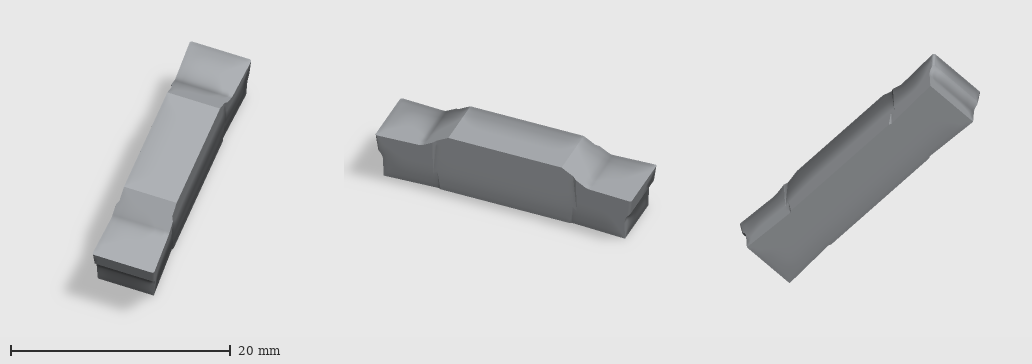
import cadquery as cq
import math

LENGTH = 25.4
HEIGHT = 6.15
HEAD_HEIGHT = 4.65
RIDGE_HALF_LENGTH = 5.61
RAMP_ANGLE = 30.0
RAMP_BLEND_RADIUS = 0.9

RELIEF_DEPTH = 0.2
RELIEF_BOTTOM = 3.0
BASE_HALF_LENGTH = 11.96
HOLLOW_BOTTOM = 1.85

BODY_HALF_WIDTH = 2.57
EDGE_HALF_WIDTH = 3.007
PLAN_TAPER = 0.05
SIDE_DRAFT = 0.053
CORNER_RADIUS = 0.2

HEAD_INNER_Y = 7.1
HEAD_STEP_SLOPE = 1.7
BODY_SHOULDER_BASE_Y = 6.38
BODY_SHOULDER_LEAN = 0.16
BODY_STEP_SLOPE = 2.1

HALF_LENGTH = LENGTH / 2
RELIEF_SLOPE = RELIEF_DEPTH / (HEAD_HEIGHT - RELIEF_BOTTOM)


def make_profile():
    """Side outline in the YZ plane, extruded wider than the part."""
    ramp_foot = RIDGE_HALF_LENGTH + (HEIGHT - HEAD_HEIGHT) / math.tan(math.radians(RAMP_ANGLE))
    blend_reach = RAMP_BLEND_RADIUS * math.tan(math.radians(RAMP_ANGLE / 2))
    ramp_y = blend_reach * math.cos(math.radians(RAMP_ANGLE))
    ramp_z = blend_reach * math.sin(math.radians(RAMP_ANGLE))
    half = (
        cq.Workplane("YZ")
        .moveTo(0, 0)
        .lineTo(BASE_HALF_LENGTH, 0)
        .lineTo(BASE_HALF_LENGTH, HOLLOW_BOTTOM)
        .tangentArcPoint((HALF_LENGTH - RELIEF_DEPTH, RELIEF_BOTTOM), relative=False)
        .lineTo(HALF_LENGTH, HEAD_HEIGHT)
        .lineTo(ramp_foot + blend_reach, HEAD_HEIGHT)
        .tangentArcPoint((ramp_foot - ramp_y, HEAD_HEIGHT + ramp_z), relative=False)
        .lineTo(RIDGE_HALF_LENGTH, HEIGHT)
        .lineTo(0, HEIGHT)
        .close()
        .extrude(EDGE_HALF_WIDTH * 2, both=True)
    )
    return half.union(half.mirror("XZ"))


def loft_plans(plan_at):
    """Straight-sided block between the plan outlines at the base and at the ridge."""
    return (
        cq.Workplane("XY")
        .polyline(plan_at(0))
        .close()
        .workplane(offset=HEIGHT)
        .polyline(plan_at(HEIGHT))
        .close()
        .loft(ruled=True)
    )


def head_plan(z):
    """Head outline at height z: tapered sides, then an inward step to a point."""
    end_y = HALF_LENGTH - RELIEF_SLOPE * (HEAD_HEIGHT - z)
    edge_x = EDGE_HALF_WIDTH - SIDE_DRAFT * (HEAD_HEIGHT - z)
    end_x = edge_x - PLAN_TAPER * (HALF_LENGTH - end_y)
    inner_x = edge_x - PLAN_TAPER * (HALF_LENGTH - HEAD_INNER_Y)
    tip_y = HEAD_INNER_Y - HEAD_STEP_SLOPE * inner_x
    return [
        (-end_x, end_y),
        (end_x, end_y),
        (inner_x, HEAD_INNER_Y),
        (0, tip_y),
        (-inner_x, HEAD_INNER_Y),
    ]


def root_plan(z):
    """Outline at height z of the head taper carried on to the middle of the part."""
    outer_y = HEAD_INNER_Y
    edge_x = EDGE_HALF_WIDTH - SIDE_DRAFT * (HEAD_HEIGHT - z)
    outer_x = edge_x - PLAN_TAPER * (HALF_LENGTH - outer_y)
    middle_x = edge_x - PLAN_TAPER * HALF_LENGTH
    return [(-outer_x, outer_y), (outer_x, outer_y), (middle_x, 0), (-middle_x, 0)]


def body_plan(z):
    """Body outline at height z: parallel sides, pointed ends buried in the heads."""
    shoulder_y = BODY_SHOULDER_BASE_Y + BODY_SHOULDER_LEAN * z
    cut_x = BODY_HALF_WIDTH / 2
    cut_y = shoulder_y + BODY_STEP_SLOPE * (BODY_HALF_WIDTH - cut_x)
    right = [
        (cut_x, -cut_y),
        (BODY_HALF_WIDTH, -shoulder_y),
        (BODY_HALF_WIDTH, shoulder_y),
        (cut_x, cut_y),
    ]
    left = [(-x, y) for x, y in reversed(right)]
    return right + left


def make_head():
    """Tapered head with its two upright end corners rounded."""
    corner_zone = cq.selectors.BoxSelector(
        (-LENGTH, BASE_HALF_LENGTH, HEIGHT / 4),
        (LENGTH, LENGTH, HEIGHT * 3 / 4),
    )
    block = loft_plans(head_plan)
    upright_corners = block.edges(corner_zone).edges("not |X")
    return upright_corners.fillet(CORNER_RADIUS)


def make_root():
    """Tapered core that carries a head into the body, no wider than the body."""
    body_envelope = cq.Workplane("XY").box(2 * BODY_HALF_WIDTH, LENGTH, 2 * HEIGHT)
    return loft_plans(root_plan).intersect(body_envelope)


head = make_head().union(make_root())
body = loft_plans(body_plan)
planform = body.union(head).union(head.mirror("XZ"))
result = make_profile().intersect(planform)